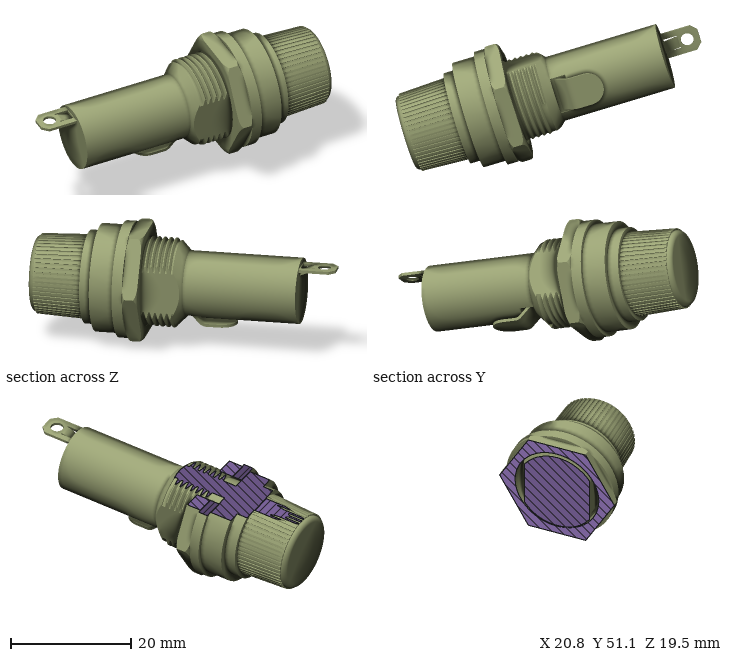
import cadquery as cq
import math


collar_top = 5.9
knob_height = 8.95
knob_cap_radius = 6.45
knob_root_radius = 6.55
knob_growth = 0.35
knob_edge_fillet = 0.8
tooth_count = 54
tooth_height = 0.15
tooth_width = 0.45
tooth_embed = 0.25

collar_radius = 7.8
flange_radius = 9.05
flange_height = 4.0
barrel_radius = 5.5
barrel_end = -30.2
cone_end = -11.15
cone_height = 1.6
cone_start = cone_end + cone_height
cone_radius = barrel_radius + cone_height
shank_flats = 11.9

thread_radius = 7.45
thread_root_radius = 6.9
thread_start = -2.5
thread_length = 6.75
thread_turns = 6.75
thread_pitch = thread_length / thread_turns
thread_crest_width = thread_pitch / 8
thread_base_width = 0.85
thread_embed = 0.1

bore_radius = 7.5
washer_radius = 9.75
washer_thickness = 1.75
nut_thickness = 2.55
nut_corners = 20.8
nut_rounding = 1.2
nut_face_radius = 9.4

blade_thickness = 0.485
blade_width = 4.3
blade_length = 6.1
blade_center_x = -0.5
blade_bottom = 4.1
blade_corner = 1.0
blade_hole_radius = 1.05
blade_hole_offset = 4.0
window_width = 2.3
window_far_end = 2.55
window_bar = 0.15
tongue_width = 1.85
tongue_angle = 22
tongue_bend_radius = 0.6

lug_thickness = 0.485
lug_width = 5.35
lug_bottom = -6.5
lug_tip = -19.4
lug_bend = -13.95
lug_angle = 45
lug_bend_radius = 0.95
lug_tip_flat = 0.01
pocket_end = -13.75
pocket_width = 6.15
pocket_floor = -4.2


def ring(outer_radius, top, height, inner_radius=0):
    """Cylinder or ring along Y that reaches down by height from Y = top."""
    sketch = cq.Workplane("XZ", origin=(0, top, 0)).circle(outer_radius)
    if inner_radius:
        sketch = sketch.circle(inner_radius)
    return sketch.extrude(height)


def make_knob():
    knob_top = collar_top + knob_height
    shoulder = knob_top - knob_edge_fillet
    base_radius = knob_root_radius + knob_growth
    core = (
        cq.Workplane("XY")
        .moveTo(0, collar_top)
        .lineTo(base_radius, collar_top)
        .lineTo(knob_root_radius, shoulder)
        .lineTo(knob_cap_radius, shoulder)
        .radiusArc((knob_cap_radius - knob_edge_fillet, knob_top), -knob_edge_fillet)
        .lineTo(0, knob_top)
        .close()
        .revolve(360, (0, 0, 0), (0, 1, 0))
    )
    tooth = (
        cq.Workplane("YZ")
        .polyline([
            (collar_top, base_radius - tooth_embed),
            (collar_top, base_radius + tooth_height),
            (shoulder, knob_root_radius + tooth_height),
            (shoulder, knob_root_radius - tooth_embed),
        ])
        .close()
        .extrude(tooth_width / 2, both=True)
        .val()
    )
    axis_start = cq.Vector(0, 0, 0)
    axis_end = cq.Vector(0, 1, 0)
    teeth = [tooth.rotate(axis_start, axis_end, 360 * i / tooth_count) for i in range(tooth_count)]
    return core.val().fuse(*teeth).clean()


def make_thread_ridge():
    """Right-handed helical ridge that runs from thread_start toward -Y."""
    inner_radius = thread_root_radius - thread_embed
    helix = cq.Wire.makeHelix(thread_pitch, thread_length, inner_radius)
    ridge = (
        cq.Workplane("XZ")
        .polyline([
            (inner_radius, -thread_base_width / 2),
            (thread_radius, -thread_crest_width / 2),
            (thread_radius, thread_crest_width / 2),
            (inner_radius, thread_base_width / 2),
        ])
        .close()
        .sweep(cq.Workplane(helix), isFrenet=True)
    )
    return ridge.rotate((0, 0, 0), (1, 0, 0), 90).translate((0, thread_start, 0))


def make_shank():
    """Threaded shank with its lead-in cone, trimmed by two flats at -X and +X."""
    core = (
        cq.Workplane("XY")
        .polyline([
            (0, 0),
            (thread_root_radius, 0),
            (thread_root_radius, cone_start),
            (cone_radius, cone_start),
            (barrel_radius, cone_end),
            (0, cone_end),
        ])
        .close()
        .revolve(360, (0, 0, 0), (0, 1, 0))
    )
    between_flats = cq.Workplane("XY").box(shank_flats, -2 * cone_end, 2 * collar_radius)
    return core.union(make_thread_ridge()).intersect(between_flats)


def make_housing():
    collar = ring(collar_radius, collar_top, collar_top - flange_height)
    flange = ring(flange_radius, flange_height, flange_height)
    barrel = ring(barrel_radius, cone_end, cone_end - barrel_end)
    pocket = cq.Workplane("XY").box(
        pocket_width, cone_end - pocket_end, barrel_radius, centered=(True, False, False)
    ).translate((0, pocket_end, pocket_floor - barrel_radius))
    return collar.union(flange).union(make_shank()).union(barrel.cut(pocket))


def make_washer():
    return ring(washer_radius, 0, washer_thickness, bore_radius)


def make_nut():
    nut_top = -washer_thickness
    hexagon = (
        cq.Workplane("XZ", origin=(0, nut_top, 0))
        .polygon(6, nut_corners)
        .circle(bore_radius)
        .extrude(nut_thickness)
    )
    disc = ring(nut_face_radius + nut_rounding, nut_top, nut_thickness)
    rounded_disc = disc.edges().fillet(nut_rounding)
    return hexagon.intersect(rounded_disc)


def make_tail_terminal():
    blade = (
        cq.Workplane("XY", origin=(blade_center_x, barrel_end - blade_length / 2, blade_bottom))
        .rect(blade_width, blade_length)
        .extrude(blade_thickness)
        .edges("|Z and <Y")
        .chamfer(blade_corner)
    )
    window_length = window_far_end - window_bar
    window_center_y = barrel_end - window_bar - window_length / 2
    window = (
        cq.Workplane("XY", origin=(blade_center_x, window_center_y, blade_bottom))
        .rect(window_width, window_length)
        .extrude(blade_thickness)
    )
    hole = (
        cq.Workplane("XY", origin=(blade_center_x, barrel_end - blade_hole_offset, blade_bottom))
        .circle(blade_hole_radius)
        .extrude(blade_thickness)
    )
    slope = math.tan(math.radians(tongue_angle))
    tongue_height = blade_thickness / math.cos(math.radians(tongue_angle))
    root = barrel_end - window_far_end
    blade_top = blade_bottom + blade_thickness
    root_bottom = blade_bottom + blade_thickness / 4
    tip_bottom = root_bottom - slope * window_far_end
    upper_bend = barrel_end - (blade_top - tip_bottom - tongue_height) / slope
    tongue = (
        cq.Workplane("YZ", origin=(blade_center_x, 0, 0))
        .polyline([
            (barrel_end, tip_bottom),
            (barrel_end, tip_bottom + tongue_height),
            (upper_bend, blade_top),
            (root, blade_top),
            (root, root_bottom),
        ])
        .close()
        .extrude(tongue_width / 2, both=True)
        .edges(cq.selectors.NearestToPointSelector((blade_center_x, upper_bend, blade_top)))
        .fillet(tongue_bend_radius)
    )
    return blade.cut(window).cut(hole).union(tongue)


def make_side_terminal():
    lug_top = lug_bottom + lug_thickness
    upper_bend = lug_bend - lug_thickness * math.tan(math.radians(lug_angle / 2))
    run_per_rise = 1 / math.tan(math.radians(lug_angle))
    profile = (
        cq.Workplane("YZ")
        .polyline([
            (lug_tip, lug_bottom),
            (lug_bend, lug_bottom),
            (lug_bend + (pocket_floor - lug_bottom) * run_per_rise, pocket_floor),
            (upper_bend + (pocket_floor - lug_top) * run_per_rise, pocket_floor),
            (upper_bend, lug_top),
            (lug_tip, lug_top),
        ])
        .close()
        .extrude(lug_width / 2, both=True)
    )
    upper_edge = cq.selectors.NearestToPointSelector((0, upper_bend, lug_top))
    lower_edge = cq.selectors.NearestToPointSelector((0, lug_bend, lug_bottom))
    lug = profile.edges(upper_edge).fillet(lug_bend_radius)
    lug = lug.edges(lower_edge).fillet(lug_bend_radius + lug_thickness)
    return lug.edges("|Z and <Y").fillet(lug_width / 2 - lug_tip_flat / 2)


knob = make_knob()
housing = make_housing()
washer = make_washer()
nut = make_nut()
tail_terminal = make_tail_terminal()
side_terminal = make_side_terminal()

result = cq.Compound.makeCompound([
    *knob.Solids(),
    housing.val(),
    washer.val(),
    nut.val(),
    tail_terminal.val(),
    side_terminal.val(),
])